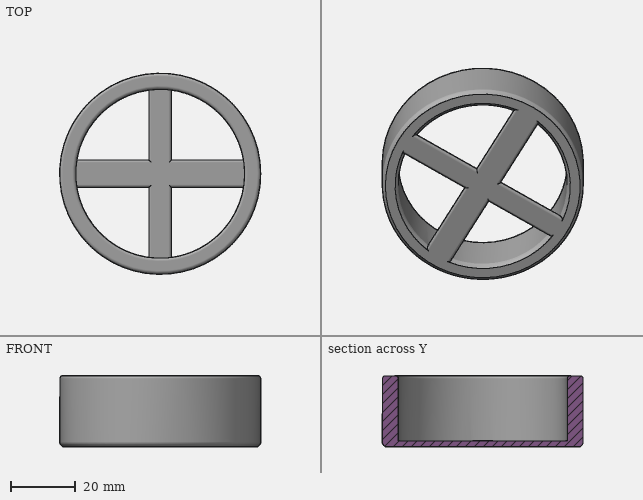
import cadquery as cq

outer_diameter = 62.0
inner_diameter = 52.0
ring_height = 22.0
rim_fillet = 1.0
base_chamfer = 1.0
base_fillet = 1.0

x_bar_width = 8.5
y_bar_width = 7.0
bar_height = 2.0
bar_fillet = 0.8

outer_radius = outer_diameter / 2
inner_radius = inner_diameter / 2


def make_ring():
    """Ring with rounded rim edges and base chamfers that blend smoothly into both walls."""
    ring = cq.Workplane("XY").circle(outer_radius).circle(inner_radius).extrude(ring_height)
    ring = ring.faces("<Z").edges().chamfer(base_chamfer)
    wall_to_chamfer = cq.selectors.BoxSelector(
        (-outer_diameter, -outer_diameter, base_chamfer / 2),
        (outer_diameter, outer_diameter, ring_height / 4),
    )
    ring = ring.edges("%CIRCLE").edges(wall_to_chamfer).fillet(base_fillet)
    return ring.faces(">Z").edges().fillet(rim_fillet)


def make_cross():
    """Two crossing bars with rounded edges, ending inside the ring wall."""
    bar_length = (inner_diameter + outer_diameter) / 2
    cross = cq.Workplane("XY").rect(bar_length, x_bar_width).extrude(bar_height)
    cross = cross.union(cq.Workplane("XY").rect(y_bar_width, bar_length).extrude(bar_height))
    return cross.faces("<Z or >Z").edges().fillet(bar_fillet)


result = make_ring().union(make_cross())